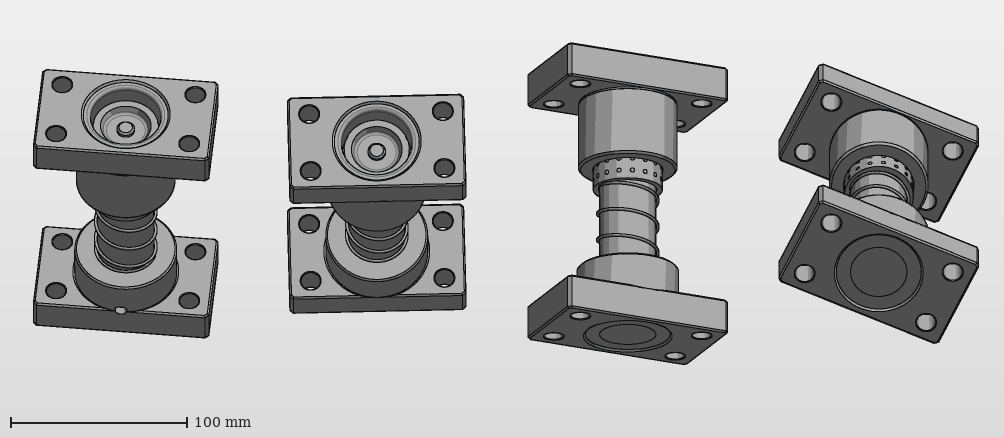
import cadquery as cq
import math


total_height = 160.8
turn_angle = 12.3

plate_length = 100.0
plate_width = 57.9
plate_thickness = 20.0
plate_edge_chamfer = 1.0
plate_corner_chamfer = 2.0
bolt_spacing_long = 75.9
bolt_spacing_short = 36.0
bolt_hole_diameter = 11.0
bolt_hole_chamfer = 0.5
seat_hole_diameter = 48.3
seat_hole_chamfer = 1.1
upper_plate_bottom = total_height - plate_thickness

holder_diameter = 57.9
holder_top = 40.0
holder_chamfer = 1.0
holder_seat_depth = 1.0
holder_seat_flare = 1.1

lock_hole_diameter = 6.6
lock_hole_depth = 12.9

post_diameter = 32.0

bush_diameter = 56.1
bush_bore = 40.0
bush_height = 40.0
bush_chamfer = 1.3
bush_mouth_radius = 2.1
bush_relief_height = 1.1
bush_relief_depth = 0.3
bush_top = total_height - seat_hole_chamfer
bush_bottom = upper_plate_bottom - bush_height

cap_diameter = 37.0
cap_top = total_height - 10.6
cap_thickness = 6.5
dish_depth = 4.0
dish_rim_diameter = 28.8
dish_wall_angle = 28.0
dish_fillet = 2.0
cap_bottom = cap_top - cap_thickness
dish_floor = cap_top - dish_depth
pin_diameter = 10.0
pin_chamfer = 1.1
pin_top = dish_floor + 2.7
pin_depth_in_post = 9.7

cage_diameter = 39.2
cage_clearance = 0.5
cage_bottom = 88.8
cage_top = cap_bottom
balls_per_row = 16
ball_rows = 7
ball_row_pitch = 7.2
first_row_height = 4.8
ball_start_angle = -4.6
ball_radius = (bush_bore - post_diameter) / 4
ball_circle_radius = (bush_bore + post_diameter) / 4

coil_radius = 17.0
wire_diameter = 1.6
closed_pitch = 1.8
open_pitch = 16.0
closed_turns = 1.0
open_turns = 3.1
spring_start = 0.2
spring_points_per_turn = 24


def cylinder(diameter, bottom, top):
    return cq.Workplane("XY").workplane(offset=bottom).circle(diameter / 2).extrude(top - bottom)


def turned(body):
    return body.rotate((0, 0, 0), (0, 0, 1), turn_angle)


def lock_hole():
    """Blind hole square to the front face, centred on the top face of the lower plate."""
    hole = (
        cq.Workplane("XZ", origin=(0, -plate_width / 2, plate_thickness))
        .circle(lock_hole_diameter / 2)
        .extrude(-lock_hole_depth)
    )
    return turned(hole)


def flange_plate():
    """Plate with four bolt holes and a seat hole, chamfered at the top of the seat."""
    plate = (
        cq.Workplane("XY")
        .box(plate_length, plate_width, plate_thickness, centered=(True, True, False))
        .edges("|Z").chamfer(plate_corner_chamfer)
        .faces("<Z or >Z").edges().chamfer(plate_edge_chamfer)
    )
    bolt_holes = (
        cq.Workplane("XY")
        .rect(bolt_spacing_long, bolt_spacing_short, forConstruction=True)
        .vertices()
        .circle(bolt_hole_diameter / 2)
        .extrude(plate_thickness)
    )
    plate = plate.cut(bolt_holes)
    plate = plate.edges(cq.selectors.RadiusNthSelector(0)).chamfer(bolt_hole_chamfer)
    plate = plate.cut(cylinder(seat_hole_diameter, 0, plate_thickness))
    plate = plate.edges(cq.selectors.RadiusNthSelector(-1)).edges(">Z").chamfer(seat_hole_chamfer)
    return turned(plate)


def make_upper_plate():
    return flange_plate().translate((0, 0, upper_plate_bottom))


def make_lower_plate():
    """The flange plate turned over, with a conical recess for the shoulder of the holder."""
    plate = flange_plate().mirror("XY").translate((0, 0, plate_thickness))
    recess = (
        cq.Workplane("XY")
        .workplane(offset=plate_thickness - holder_seat_depth)
        .circle(holder_diameter / 2)
        .workplane(offset=holder_seat_depth)
        .circle(holder_diameter / 2 + holder_seat_flare)
        .loft()
    )
    return plate.cut(recess).cut(lock_hole())


def make_holder():
    """Shoulder on the lower plate and a neck in its seat hole, bored for the post."""
    shoulder_bottom = plate_thickness - holder_seat_depth
    holder = cylinder(holder_diameter, shoulder_bottom, holder_top)
    holder = holder.faces(">Z").edges().chamfer(holder_chamfer)
    holder = holder.union(cylinder(seat_hole_diameter, seat_hole_chamfer, shoulder_bottom))
    return holder.cut(cylinder(post_diameter, 0, holder_top)).cut(lock_hole())


def make_bush():
    """Shoulder below the upper plate and a neck in its seat hole, with a rounded bore mouth."""
    bush = cylinder(bush_diameter, bush_bottom, upper_plate_bottom)
    bush = bush.faces("<Z").edges().chamfer(bush_chamfer)
    relief_bottom = upper_plate_bottom - bush_relief_height
    relief = cylinder(bush_diameter, relief_bottom, upper_plate_bottom)
    relief = relief.cut(cylinder(bush_diameter - 2 * bush_relief_depth, relief_bottom, upper_plate_bottom))
    bush = bush.cut(relief)
    bush = bush.union(cylinder(seat_hole_diameter, upper_plate_bottom, bush_top))
    bush = bush.cut(cylinder(bush_bore, bush_bottom, bush_top))
    return bush.faces(">Z").edges(cq.selectors.RadiusNthSelector(0)).fillet(bush_mouth_radius)


def make_post():
    """Plain round post with a blind hole in its top for the pin."""
    post = cylinder(post_diameter, seat_hole_chamfer, cap_bottom)
    return post.cut(cylinder(pin_diameter, cap_bottom - pin_depth_in_post, cap_bottom))


def make_cap():
    """Disc with a dish in its top and a hole for the pin."""
    floor_radius = dish_rim_diameter / 2 - dish_depth * math.tan(math.radians(dish_wall_angle))
    dish = (
        cq.Workplane("XY")
        .workplane(offset=dish_floor)
        .circle(floor_radius)
        .workplane(offset=dish_depth)
        .circle(dish_rim_diameter / 2)
        .loft()
        .faces("<Z").edges().fillet(dish_fillet)
    )
    cap = cylinder(cap_diameter, cap_bottom, cap_top).cut(dish)
    return cap.cut(cylinder(pin_diameter, cap_bottom, cap_top))


def make_pin():
    pin = cylinder(pin_diameter, cap_bottom - pin_depth_in_post, pin_top)
    return pin.faces(">Z").edges().chamfer(pin_chamfer)


def make_cage():
    """Sleeve with rows of balls that stand proud of it inside and outside."""
    cage = cylinder(cage_diameter, cage_bottom, cage_top)
    cage = cage.cut(cylinder(post_diameter + 2 * cage_clearance, cage_bottom, cage_top))
    balls = []
    for row in range(ball_rows):
        height = cage_bottom + first_row_height + row * ball_row_pitch
        for place in range(balls_per_row):
            angle = math.radians(ball_start_angle + place * 360 / balls_per_row)
            x = ball_circle_radius * math.cos(angle)
            y = ball_circle_radius * math.sin(angle)
            balls.append(cq.Workplane("XY", origin=(x, y, height)).sphere(ball_radius).val())
    return cq.Workplane(cage.val().fuse(*balls))


def spring_point(turns):
    """Wire centre after this many turns, rising clockwise: a closed coil and then open ones."""
    closed = min(turns, closed_turns)
    height = spring_start + closed * closed_pitch + (turns - closed) * open_pitch
    angle = -2 * math.pi * turns
    return cq.Vector(coil_radius * math.cos(angle), coil_radius * math.sin(angle), holder_top + height)


def make_spring():
    """Left-hand spring, its ends ground flat against the holder and the cage."""
    total_turns = closed_turns + open_turns
    steps = round(total_turns * spring_points_per_turn)
    path = cq.Edge.makeSpline([spring_point(total_turns * i / steps) for i in range(steps + 1)])
    start_plane = cq.Plane(origin=path.startPoint(), normal=path.tangentAt(0))
    wire = (
        cq.Workplane(start_plane)
        .circle(wire_diameter / 2)
        .sweep(cq.Workplane(cq.Wire.assembleEdges([path])), isFrenet=True)
    )
    return wire.intersect(cylinder(cage_diameter, holder_top, cage_bottom))


upper_plate = make_upper_plate()
lower_plate = make_lower_plate()
holder = make_holder()
bush = make_bush()
post = make_post()
cap = make_cap()
pin = make_pin()
cage = make_cage()
spring = make_spring()

bodies = [upper_plate, lower_plate, holder, bush, post, cap, pin, cage, spring]
result = cq.Compound.makeCompound([body.solids().val() for body in bodies])